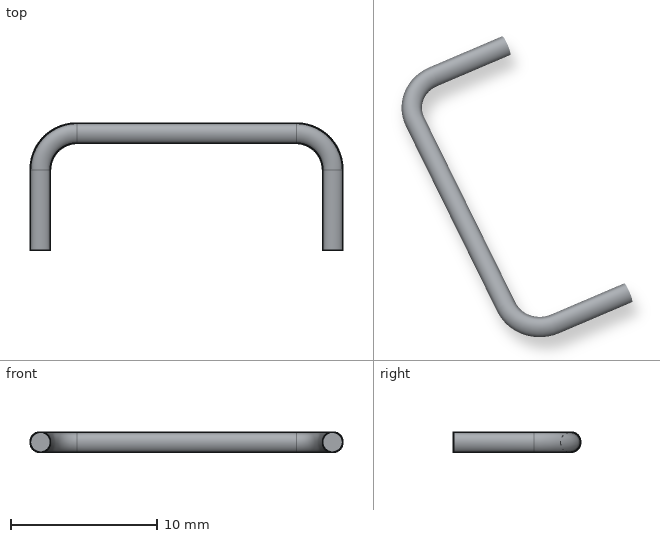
import cadquery as cq
import math

overall_width = 21.4
overall_depth = 8.7
wire_diameter = 1.4
bend_radius = 2.5

wire_radius = wire_diameter / 2
leg_x = overall_width / 2 - wire_radius
bar_y = overall_depth - wire_radius
bend_start_y = bar_y - bend_radius
bar_end_x = leg_x - bend_radius
bend_mid_offset = bend_radius * math.sqrt(0.5)
bend_mid_x = bar_end_x + bend_mid_offset
bend_mid_y = bend_start_y + bend_mid_offset

centreline = (
    cq.Workplane("XY")
    .moveTo(-leg_x, 0)
    .lineTo(-leg_x, bend_start_y)
    .threePointArc((-bend_mid_x, bend_mid_y), (-bar_end_x, bar_y))
    .lineTo(bar_end_x, bar_y)
    .threePointArc((bend_mid_x, bend_mid_y), (leg_x, bend_start_y))
    .lineTo(leg_x, 0)
)

result = (
    cq.Workplane("XZ", origin=(-leg_x, 0, 0))
    .circle(wire_radius)
    .sweep(centreline)
)